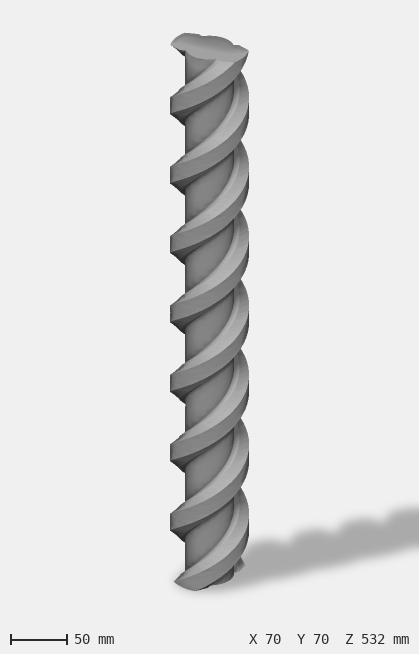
import cadquery as cq
import math

length = 532.0
outer_radius = 35.0
core_radius = 22.0
lobe_count = 2
half_turn_rise = 70.0
top_lobe_angle = 17.0
tip_half_angle = 21.5
root_half_angle = 43.5
shoulder_radius = 26.5
shoulder_half_angle = 39.5

total_twist = 180.0 * length / half_turn_rise
bottom_lobe_angle = top_lobe_angle - total_twist
lobe_spacing = 360.0 / lobe_count


def polar(radius, angle):
    """Point of the section at a radius and an angle in degrees."""
    turn = math.radians(angle)
    return (radius * math.cos(turn), radius * math.sin(turn))


def screw_section(first_lobe_angle):
    """Round core with equally spaced lobes that have two-sided flanks and round lands."""
    outline = cq.Workplane("XY").moveTo(*polar(core_radius, first_lobe_angle - root_half_angle))
    for lobe in range(lobe_count):
        axis = first_lobe_angle + lobe * lobe_spacing
        outline = outline.lineTo(*polar(shoulder_radius, axis - shoulder_half_angle))
        outline = outline.lineTo(*polar(outer_radius, axis - tip_half_angle))
        outline = outline.threePointArc(
            polar(outer_radius, axis),
            polar(outer_radius, axis + tip_half_angle),
        )
        outline = outline.lineTo(*polar(shoulder_radius, axis + shoulder_half_angle))
        outline = outline.lineTo(*polar(core_radius, axis + root_half_angle))
        outline = outline.threePointArc(
            polar(core_radius, axis + lobe_spacing / 2),
            polar(core_radius, axis + lobe_spacing - root_half_angle),
        )
    return outline.close()


screw = screw_section(bottom_lobe_angle).twistExtrude(length, total_twist)
result = screw.translate((0, 0, -length / 2))